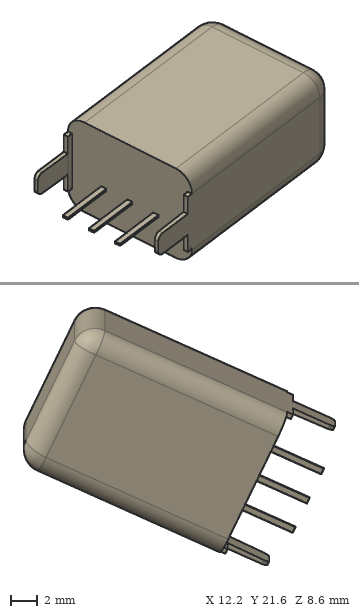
import cadquery as cq

total_length = 21.6
body_width = 12.15
body_height = 8.6
body_length = 17.0

side_radius = 1.6
back_radius = 1.73

pin_count = 3
pin_pitch = 2.55
pin_width = 0.5
pin_thickness = 0.2
pin_length = total_length - body_length

tab_thickness = 0.4
tab_tip_thickness = 0.35
shoulder_height = 5.3
shoulder_length = 0.5
tab_height = 2.0
tab_length = 4.02
tab_tip_radius = 0.5

pin_z = -tab_height / 2 - pin_thickness / 2


def make_housing():
    """Block rounded along its length and around its back (+Y) face."""
    block = cq.Workplane("XY").box(body_width, body_length, body_height, centered=(True, False, True))
    return block.edges("|Y").fillet(side_radius).faces(">Y").edges().fillet(back_radius)


def front_bar(width, length, height, x, z=0.0):
    """Bar standing out from the front face (Y = 0) toward -Y."""
    bar = cq.Workplane("XY").box(width, length, height)
    return bar.translate((x, -length / 2, z))


def make_tab(side):
    """Wide shoulder with a tongue that thins on its inner face toward a rounded tip."""
    outer_x = side * body_width / 2
    shoulder = front_bar(tab_thickness, shoulder_length, shoulder_height, outer_x - side * tab_thickness / 2)
    tongue = (
        cq.Workplane("XY")
        .moveTo(outer_x, 0)
        .lineTo(outer_x, -tab_length)
        .lineTo(outer_x - side * tab_tip_thickness, -tab_length)
        .lineTo(outer_x - side * tab_thickness, -shoulder_length)
        .lineTo(outer_x - side * tab_thickness, 0)
        .close()
        .extrude(tab_height / 2, both=True)
    )
    tongue = tongue.faces("<Y").edges("<Z or >Z").fillet(tab_tip_radius)
    return shoulder.union(tongue)


result = make_housing()

for side in (-1, 1):
    result = result.union(make_tab(side))

for index in range(pin_count):
    pin_x = (index - (pin_count - 1) / 2) * pin_pitch
    result = result.union(front_bar(pin_width, pin_length, pin_thickness, pin_x, pin_z))